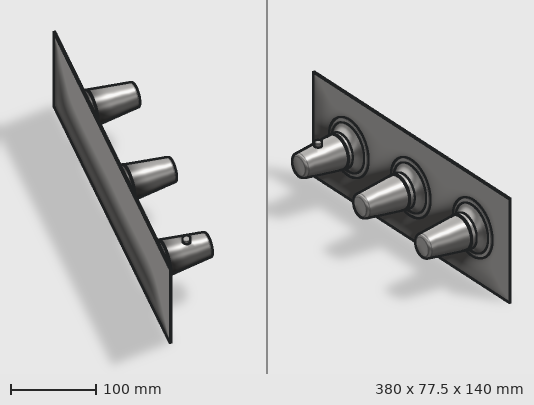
import cadquery as cq

PLATE_LENGTH = 380.0
PLATE_HEIGHT = 140.0
PLATE_THICKNESS = 2.0

KNOB_SPACING = 120.0
RIM_RADIUS = 37.5
RIM_THICKNESS = 2.0
RIM_EDGE_FILLET = 0.8
RIM_FACE = PLATE_THICKNESS + RIM_THICKNESS
FLARE_RADIUS = 31.5
FLARE_ARC_RADIUS = 19.8
BAND_RADIUS = 22.5
BAND_START = 13.5
BAND_END = 20.5

GROOVE_WIDTH = 1.0
GROOVE_DEPTH = 0.8
KNOB_BASE_RADIUS = 22.0
KNOB_TIP_RADIUS = 15.2
KNOB_END = 77.5
KNOB_TIP_FILLET = 3.5

BUTTON_KNOB_SETBACK = 1.0
BUTTON_DIAMETER = 9.5
BUTTON_Y = 48.0
BUTTON_TOP = 23.5
BUTTON_FILLET = 0.5


def make_plate():
    return cq.Workplane("XY").box(
        PLATE_LENGTH, PLATE_THICKNESS, PLATE_HEIGHT, centered=(True, False, True)
    )


def make_knob(setback):
    """Rosette and knob on the Y axis, with the groove and knob tip moved back by setback."""
    band_end = BAND_END - setback
    knob_start = band_end + GROOVE_WIDTH
    knob_end = KNOB_END - setback
    groove_radius = BAND_RADIUS - GROOVE_DEPTH
    body = (
        cq.Workplane("XY")
        .moveTo(0, PLATE_THICKNESS)
        .lineTo(RIM_RADIUS, PLATE_THICKNESS)
        .lineTo(RIM_RADIUS, RIM_FACE - RIM_EDGE_FILLET)
        .radiusArc((RIM_RADIUS - RIM_EDGE_FILLET, RIM_FACE), -RIM_EDGE_FILLET)
        .lineTo(FLARE_RADIUS, RIM_FACE)
        .radiusArc((BAND_RADIUS, BAND_START), FLARE_ARC_RADIUS)
        .lineTo(BAND_RADIUS, band_end)
        .lineTo(groove_radius, band_end)
        .lineTo(groove_radius, knob_start)
        .lineTo(KNOB_BASE_RADIUS, knob_start)
        .lineTo(KNOB_TIP_RADIUS, knob_end)
        .lineTo(0, knob_end)
        .close()
        .revolve(360, (0, 0), (0, 1))
    )
    return body.faces(">Y").edges().fillet(KNOB_TIP_FILLET)


def make_button():
    button = cq.Workplane("XY").center(0, BUTTON_Y).circle(BUTTON_DIAMETER / 2).extrude(BUTTON_TOP)
    return button.faces(">Z").edges().fillet(BUTTON_FILLET)


result = make_plate()
for knob_x in (-KNOB_SPACING, 0):
    result = result.union(make_knob(0).translate((knob_x, 0, 0)))

button_knob = make_knob(BUTTON_KNOB_SETBACK).union(make_button())
result = result.union(button_knob.translate((KNOB_SPACING, 0, 0)))